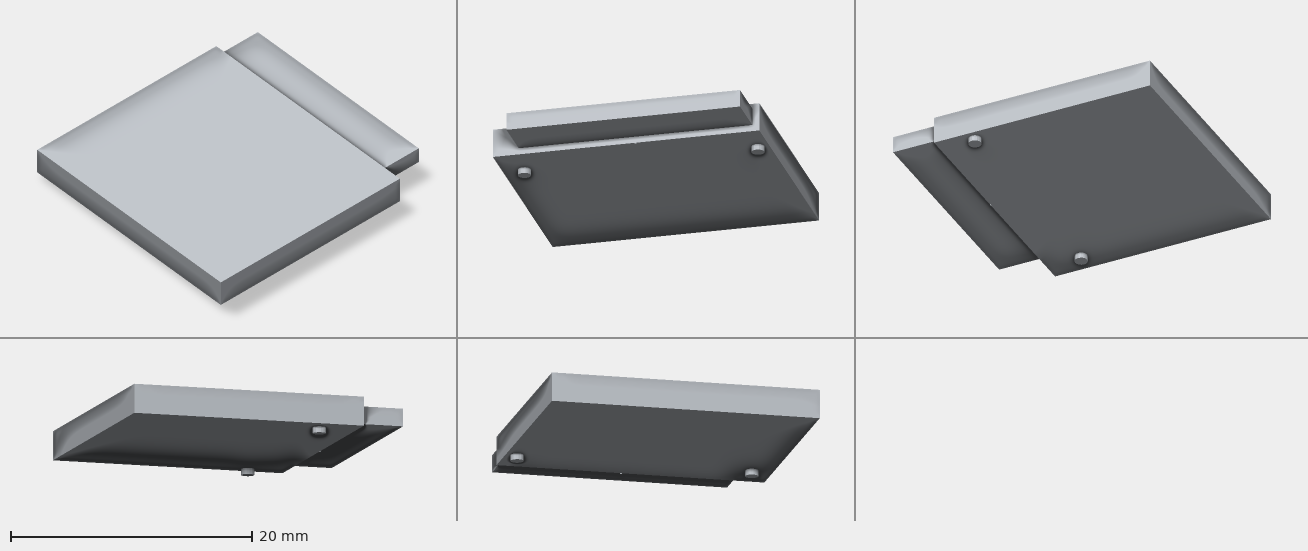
import cadquery as cq

TOTAL_LENGTH = 24.0
TOTAL_HEIGHT = 2.95
HOUSING_WIDTH = 22.8
HOUSING_LENGTH = 19.92
HOUSING_HEIGHT = 2.45

TONGUE_WIDTH = 20.0
TONGUE_LENGTH = TOTAL_LENGTH - HOUSING_LENGTH
TONGUE_HEIGHT = 1.5
TONGUE_SIDE_INSET = 0.6
TONGUE_TOP_INSET = 0.4

PEG_DIAMETER = 1.1
PEG_SIDES = 16
PEG_HEIGHT = TOTAL_HEIGHT - HOUSING_HEIGHT
PEG_SPACING = 20.0
PEG_SIDE_INSET = 0.95
PEG_BACK_INSET = 3.3
PEG_COUNT = 2

TAB_WIDTH = 0.2
TAB_LENGTH = 0.05
TAB_HEIGHT = 0.07

TONGUE_CENTRE_X = TONGUE_SIDE_INSET + TONGUE_WIDTH / 2


def block(width, length, height):
    """Box centred on X = 0, with its front face on Y = 0 and its underside on Z = 0."""
    return cq.Workplane("XY").box(width, length, height, centered=(True, False, False))


def make_housing():
    housing = block(HOUSING_WIDTH, HOUSING_LENGTH, HOUSING_HEIGHT)
    return housing.translate((HOUSING_WIDTH / 2, 0, 0))


def make_tongue():
    underside = HOUSING_HEIGHT - TONGUE_TOP_INSET - TONGUE_HEIGHT
    tongue = block(TONGUE_WIDTH, TONGUE_LENGTH, TONGUE_HEIGHT)
    return tongue.translate((TONGUE_CENTRE_X, HOUSING_LENGTH, underside))


def make_peg(axis_x):
    """Sixteen-sided peg hanging from the underside of the housing."""
    peg = cq.Workplane("XY").polygon(PEG_SIDES, PEG_DIAMETER).extrude(-PEG_HEIGHT)
    return peg.translate((axis_x, HOUSING_LENGTH - PEG_BACK_INSET, 0))


def make_tab():
    """Tab flush with the back face of the housing."""
    tab = block(TAB_WIDTH, TAB_LENGTH, TAB_HEIGHT)
    return tab.translate((TONGUE_CENTRE_X, HOUSING_LENGTH - TAB_LENGTH, -TAB_HEIGHT))


housing = make_housing()
tongue = make_tongue()
pegs = [make_peg(PEG_SIDE_INSET + i * PEG_SPACING) for i in range(PEG_COUNT)]
tab = make_tab()

result = cq.Compound.makeCompound(
    [housing.val(), tongue.val(), *[peg.val() for peg in pegs], tab.val()]
)